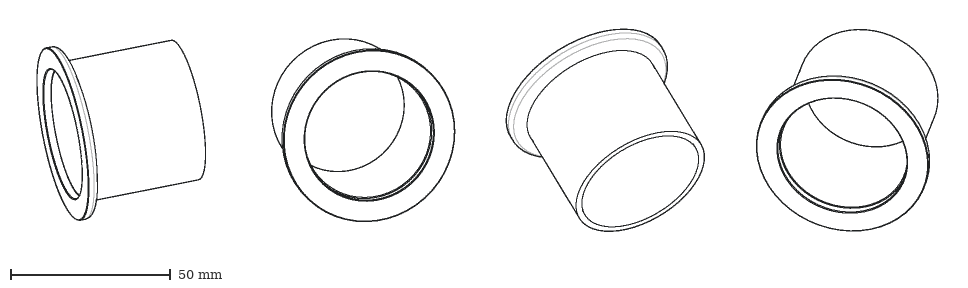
import cadquery as cq
import math

length = 40.0
flange_radius = 27.5
tube_radius = 22.3
bore_radius = 20.25

flange_height_at_tube = 4.45
back_taper = math.radians(15)
shoulder_radius = 1.5
edge_bevel = 0.2

recess_radius = 20.6
recess_depth = 2.6
mouth_bevel = 0.3

back_at_rim = flange_height_at_tube - (flange_radius - tube_radius) * math.tan(back_taper)
shoulder_center_radius = flange_radius - shoulder_radius
shoulder_center_height = back_at_rim - shoulder_radius * math.tan(math.pi / 4 - back_taper / 2)


def shoulder_point(angle):
    """Point on the shoulder arc at an angle from the outward radial direction."""
    return (
        shoulder_center_radius + shoulder_radius * math.cos(angle),
        shoulder_center_height + shoulder_radius * math.sin(angle),
    )


shoulder_sweep = math.pi / 2 - back_taper

profile = (
    cq.Workplane("XY")
    .moveTo(recess_radius + mouth_bevel, 0)
    .lineTo(flange_radius - edge_bevel, 0)
    .lineTo(flange_radius, edge_bevel)
    .lineTo(*shoulder_point(0))
    .threePointArc(shoulder_point(shoulder_sweep / 2), shoulder_point(shoulder_sweep))
    .lineTo(tube_radius, flange_height_at_tube)
    .lineTo(tube_radius, length)
    .lineTo(bore_radius, length)
    .lineTo(bore_radius, recess_depth)
    .lineTo(recess_radius, recess_depth)
    .lineTo(recess_radius, mouth_bevel)
    .close()
)

result = profile.revolve(360, (0, 0, 0), (0, 1, 0))